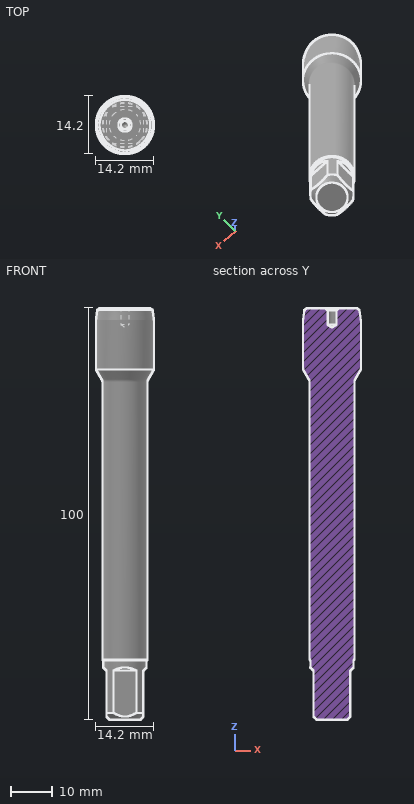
import cadquery as cq
import math

length = 100.0

head_radius = 14.16 / 2
head_top_face_radius = 6.15
head_rim_radius = 6.75
head_rim_drop = 0.4
head_taper_drop = 2.9
head_bottom_drop = 14.9
neck_half_angle = math.radians(30)
neck_fillet = 1.2

shaft_radius = 11.0 / 2
shaft_bottom = 14.4
drive_radius = 10.56 / 2
drive_across_flats = 9.0
drive_flats = 4
flat_top = 11.95
tip_radius = 3.8
tip_height = 1.7

hole_radius = 2.0 / 2
hole_depth = 4.0
countersink_radius = 1.6
drill_point_half_angle = math.radians(59)


def make_body():
    """Turned body: tapered tip, drive cylinder, chamfered shaft, filleted neck and tapered head."""
    shaft_chamfer = shaft_radius - drive_radius
    taper_top = length - head_rim_drop
    taper_bottom = length - head_taper_drop
    head_bottom = length - head_bottom_drop
    neck_corner = head_bottom - (head_radius - shaft_radius) / math.tan(neck_half_angle)
    tangent_length = neck_fillet * math.tan(neck_half_angle / 2)
    fillet_end = (
        shaft_radius + tangent_length * math.sin(neck_half_angle),
        neck_corner + tangent_length * math.cos(neck_half_angle),
    )
    return (
        cq.Workplane("XZ")
        .moveTo(0, 0)
        .lineTo(tip_radius, 0)
        .lineTo(drive_radius, tip_height)
        .lineTo(drive_radius, shaft_bottom)
        .lineTo(shaft_radius, shaft_bottom + shaft_chamfer)
        .lineTo(shaft_radius, neck_corner - tangent_length)
        .tangentArcPoint(fillet_end, relative=False)
        .lineTo(head_radius, head_bottom)
        .lineTo(head_radius, taper_bottom)
        .lineTo(head_rim_radius, taper_top)
        .lineTo(head_top_face_radius, length)
        .lineTo(0, length)
        .close()
        .revolve(360, (0, 0, 0), (0, 1, 0))
    )


def make_flat_cutter():
    """Wedge that mills one drive flat (on the -Y side) and runs out upward at 45 degrees."""
    flat_distance = drive_across_flats / 2
    cut_depth = shaft_radius - flat_distance
    return (
        cq.Workplane("YZ")
        .moveTo(-flat_distance, 0)
        .lineTo(-flat_distance, flat_top)
        .lineTo(-shaft_radius, flat_top + cut_depth)
        .lineTo(-shaft_radius, 0)
        .close()
        .extrude(shaft_radius, both=True)
    )


def make_centre_hole():
    """Blind drilled hole with a 45 degree countersink and a conical bottom."""
    countersink_depth = countersink_radius - hole_radius
    hole_bottom = length - hole_depth
    point_height = hole_radius / math.tan(drill_point_half_angle)
    return (
        cq.Workplane("XZ")
        .moveTo(0, length)
        .lineTo(countersink_radius, length)
        .lineTo(hole_radius, length - countersink_depth)
        .lineTo(hole_radius, hole_bottom)
        .lineTo(0, hole_bottom - point_height)
        .close()
        .revolve(360, (0, 0, 0), (0, 1, 0))
    )


result = make_body().cut(make_centre_hole())
flat_cutter = make_flat_cutter()
for flat in range(drive_flats):
    result = result.cut(flat_cutter.rotate((0, 0, 0), (0, 0, 1), flat * 360 / drive_flats))